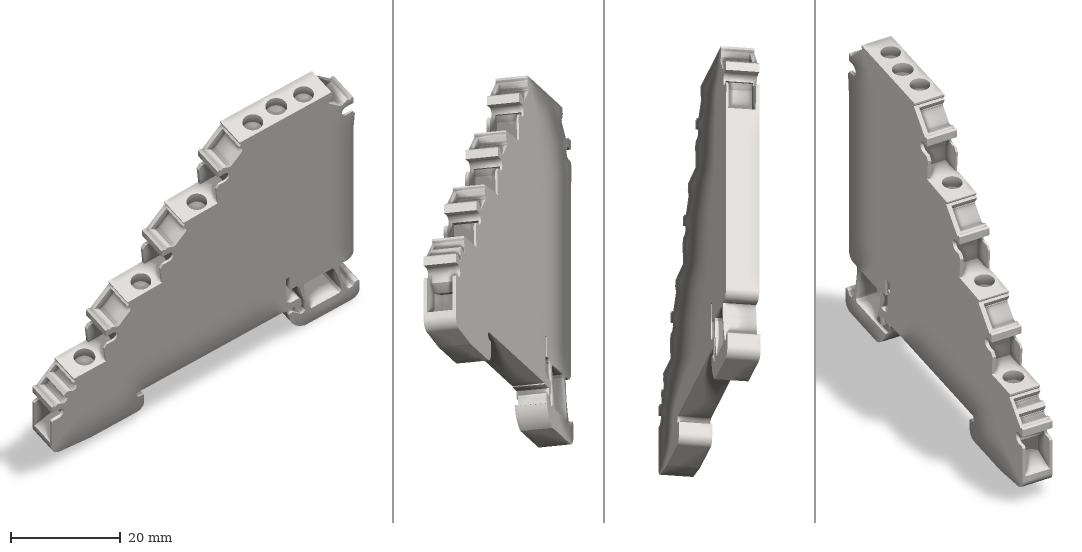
import cadquery as cq
import math


WIDTH = 6.2
LENGTH = 68.6
TOP_Z = 62.85
SEAM_X = WIDTH / 2
CUT_CLEAR = 0.7

TIER_PITCH_Y = 12.5
TIER_PITCH_Z = 14.05
HOUSING_TIERS = 3
LOWEST_LIP_Y = 12.0
LOWEST_NOTCH_Z = 27.0
TIERS = [
    (LOWEST_LIP_Y + i * TIER_PITCH_Y, LOWEST_NOTCH_Z + i * TIER_PITCH_Z)
    for i in reversed(range(HOUSING_TIERS))
]
BASE_TIER = (0.0, 13.45)
BACK_Y = 67.2
MIRROR_Y = (TIERS[0][0] + BACK_Y) / 2

NOTCH_R = 1.2
NOTCH_CENTRE_IN = 1.45
NOTCH_BACK_IN = NOTCH_CENTRE_IN + NOTCH_R
SLOPE_FOOT_IN = 0.8
SLOPE_FOOT_UP = 2.6
SLOPE_RISE = 4.3
SLOPE_LENGTH = SLOPE_RISE * math.sqrt(2)
TIER_TOP_UP = 7.55
TOP_TILT = 0.3
CREST_IN = 4.9
CREST_HEIGHT = 0.3
CREST_AND_LIP = [
    (CREST_IN, TIER_TOP_UP),
    (CREST_IN, TIER_TOP_UP - CREST_HEIGHT),
    (SLOPE_FOOT_IN + SLOPE_RISE, SLOPE_FOOT_UP + SLOPE_RISE),
    (SLOPE_FOOT_IN, SLOPE_FOOT_UP),
    (0.35, 3.0),
    (0.0, 2.75),
    (0.0, NOTCH_R),
    (NOTCH_CENTRE_IN, NOTCH_R),
]
EAR = [(0.3, -NOTCH_R), (-0.35, -2.0)]

RECESS_DEPTH = 1.7
RECESS_MARGIN = 0.55
HOUSING_RECESS_X = 0.9
RECESS_FLARE = 0.35
RECESS_FLARE_DEPTH = 0.9
RECESS_LEDGE = 0.3
RECESS_LEDGE_DEPTH = 1.45
BASE_RECESS_X = 0.6
RIB_WIDTH = 0.95

POCKET_X = (0.7, 5.75)
POCKET_DEPTH = 3.8
POCKET_LEAN = 0.6
BASE_POCKET_X = (0.6, 5.55)
BASE_POCKET_DEPTH = 4.45
BASE_POCKET_FLOOR_Z = (5.6, 7.0)
BASE_POCKET_ROOF_Z = (11.95, 10.5)
THROAT_X = (1.6, 4.5)
THROAT_DEPTH = 1.0

SCREW_D = 3.8
SCREW_X = 3.65
SCREW_IN = 9.6
BACK_SCREW_Y = 57.9
WIDE_SCREW_D = 4.0
WIDE_SCREW_X = SEAM_X
MIDDLE_SCREW_Y = 52.2
BASE_SCREW_Y = 9.4
SCREW_DEPTH = 2.05

BASE_TOP_Z = 21.1
JOINT_Z = 16.3
JOINT_LOW_Z = 15.0
JOINT_FRONT_Y = 12.95
DOVETAIL_Y = 39.9
DOVETAIL_NECK = 5.5
DOVETAIL_WIDTH = 8.4
DOVETAIL_EDGE = 0.35
DOVETAIL_BOTTOM_Z = 14.35
DOVETAIL_HALF = [
    (DOVETAIL_NECK / 2, JOINT_Z),
    (DOVETAIL_WIDTH / 2, DOVETAIL_BOTTOM_Z + DOVETAIL_EDGE),
    (DOVETAIL_WIDTH / 2, DOVETAIL_BOTTOM_Z),
]
JOINT = [
    (LOWEST_LIP_Y, BASE_TOP_Z),
    (LOWEST_LIP_Y, 20.6),
    (JOINT_FRONT_Y, 20.3),
    (JOINT_FRONT_Y, JOINT_LOW_Z),
    (20.7, JOINT_LOW_Z),
    (21.3, DOVETAIL_BOTTOM_Z),
    (23.9, DOVETAIL_BOTTOM_Z),
    (24.7, 15.4),
    (25.05, JOINT_Z),
    *[(DOVETAIL_Y - y, z) for y, z in DOVETAIL_HALF],
    *[(DOVETAIL_Y + y, z) for y, z in reversed(DOVETAIL_HALF)],
]

HOUSING_BOTTOM_Z = 12.0
HOUSING_CORNER_R = 1.65
HEEL_Y = 53.1
HEEL_STEP = (54.9, 12.55)
FOOT_TOP_Z = 3.9
FOOT_ROOT_Z = 3.7
ARM_SHOULDER_Z = 10.8
SETBACK = 0.7
BASE_BOTTOM_Z = 1.65
RAIL_TOP_Z = 7.15
BASE_BACK_Y = 52.2
RELIEF_LENGTH = 0.95


def prism(sketch, x_from=0.0, x_to=WIDTH):
    """Close a YZ sketch and extrude it between two X positions."""
    return sketch.close().extrude(x_to - x_from).translate((x_from, 0, 0))


def polygon_prism(points, x_from=0.0, x_to=WIDTH):
    return prism(cq.Workplane("YZ").polyline(points), x_from, x_to)


def line_through(sketch, points):
    for point in points:
        sketch = sketch.lineTo(*point)
    return sketch


def at_tier(tier, offsets):
    """Turn tier offsets into absolute YZ points."""
    lip_y, notch_z = tier
    return [(lip_y + inward, notch_z + up) for inward, up in offsets]


def mirror_to_back(solid):
    return solid.mirror("XZ", (0, MIRROR_Y, 0))


def inner_top_z(tier):
    """Height of a housing tier's top where it meets the tier above."""
    return tier[1] + TIER_TOP_UP + TOP_TILT


EAR_BOTTOMS = [inner_top_z(tier) for tier in TIERS[1:]] + [BASE_TOP_Z]


def draw_crest_to_notch(sketch, tier):
    sketch = line_through(sketch, at_tier(tier, CREST_AND_LIP))
    arc = [(NOTCH_BACK_IN, 0.0), (NOTCH_CENTRE_IN, -NOTCH_R)]
    return sketch.threePointArc(*at_tier(tier, arc))


def draw_housing_tier(sketch, tier, ear_bottom_z):
    """Crest, slope, lip, notch and ear of a housing tier, from top to bottom."""
    sketch = draw_crest_to_notch(sketch, tier)
    return line_through(sketch, at_tier(tier, EAR) + [(tier[0], ear_bottom_z)])


def slope_recess(tier, x_from, start, end):
    """Recess between two distances up the slope, with flared ends and a ledge at both."""
    wall_foot = RECESS_FLARE
    floor_start = wall_foot + RECESS_LEDGE
    end_wall = [
        (0.0, -CUT_CLEAR),
        (0.0, 0.0),
        (wall_foot, RECESS_FLARE_DEPTH),
        (wall_foot, RECESS_LEDGE_DEPTH),
        (floor_start, RECESS_LEDGE_DEPTH),
        (floor_start, RECESS_DEPTH),
    ]
    lower = [(start + along, depth) for along, depth in end_wall]
    upper = [(end - along, depth) for along, depth in reversed(end_wall)]
    unit = math.sqrt(0.5)
    offsets = [
        (SLOPE_FOOT_IN + unit * (along + depth), SLOPE_FOOT_UP + unit * (along - depth))
        for along, depth in lower + upper
    ]
    return polygon_prism(at_tier(tier, offsets), x_from)


def housing_recess(tier):
    return slope_recess(tier, HOUSING_RECESS_X, RECESS_MARGIN, SLOPE_LENGTH - RECESS_MARGIN)


def ear_pocket(tier, floor_z):
    """Wire pocket between the ears; above the lowest tier its back leans beside the notch."""
    lip_y, notch_z = tier
    front_y = lip_y - CUT_CLEAR
    back_y = lip_y + POCKET_DEPTH
    lean = 0.0 if tier == TIERS[-1] else POCKET_LEAN
    points = [
        (front_y, floor_z),
        (back_y, floor_z),
        (back_y, notch_z - NOTCH_R),
        (back_y - lean, notch_z),
        (front_y, notch_z),
    ]
    return polygon_prism(points, *POCKET_X)


def screw_hole(x, y, top_z, diameter):
    height = SCREW_DEPTH + CUT_CLEAR
    cutter = cq.Workplane("XY").circle(diameter / 2).extrude(height)
    return cutter.translate((x, y, top_z - SCREW_DEPTH))


def housing_plate():
    """Stepped plate from the base joint up to the middle of the top tier, with a plain back."""
    back_top_z = EAR_BOTTOMS[0]
    sketch = cq.Workplane("YZ").moveTo(MIRROR_Y, back_top_z).lineTo(MIRROR_Y, TOP_Z)
    sketch = sketch.lineTo(TIERS[0][0] + CREST_IN, TOP_Z)
    for tier, ear_bottom_z in zip(TIERS, EAR_BOTTOMS):
        sketch = draw_housing_tier(sketch, tier, ear_bottom_z)
    step_y, step_z = HEEL_STEP
    sketch = line_through(sketch, JOINT[1:])
    sketch = line_through(sketch, [(HEEL_Y, JOINT_Z), (HEEL_Y, step_z), HEEL_STEP])
    sketch = sketch.lineTo(step_y, HOUSING_BOTTOM_Z).lineTo(BACK_Y - HOUSING_CORNER_R, HOUSING_BOTTOM_Z)
    sketch = sketch.radiusArc((BACK_Y, HOUSING_BOTTOM_Z + HOUSING_CORNER_R), -HOUSING_CORNER_R)
    return prism(sketch.lineTo(BACK_Y, back_top_z))


def top_tier_back():
    """Back half of the top tier, the mirror image of its front half."""
    sketch = cq.Workplane("YZ").moveTo(MIRROR_Y, EAR_BOTTOMS[0]).lineTo(MIRROR_Y, TOP_Z)
    sketch = sketch.lineTo(TIERS[0][0] + CREST_IN, TOP_Z)
    return mirror_to_back(prism(draw_housing_tier(sketch, TIERS[0], EAR_BOTTOMS[0])))


def foot_plate():
    sketch = (
        cq.Workplane("YZ")
        .moveTo(HEEL_Y, FOOT_TOP_Z)
        .threePointArc((54.2, 1.65), (56.45, 0.0))
        .lineTo(66.75, 0.0)
        .threePointArc((68.05, 0.55), (LENGTH, 1.85))
        .lineTo(LENGTH, 4.05)
        .threePointArc((68.0, 4.65), (67.35, 4.1))
        .lineTo(67.1, FOOT_ROOT_Z)
        .lineTo(66.05, FOOT_ROOT_Z)
        .lineTo(65.8, FOOT_TOP_Z)
    )
    return prism(sketch)


def back_strut():
    """Curved spring strut at the back of the foot."""
    sketch = (
        cq.Workplane("YZ")
        .moveTo(66.2, FOOT_ROOT_Z)
        .lineTo(65.65, 4.45)
        .threePointArc((64.5, 8.15), (64.0, HOUSING_BOTTOM_Z))
        .lineTo(62.55, HOUSING_BOTTOM_Z)
        .lineTo(63.0, 11.5)
        .threePointArc((63.7, 9.05), (64.55, 4.8))
        .lineTo(64.55, 4.4)
        .lineTo(64.0, FOOT_ROOT_Z)
    )
    return prism(sketch)


def latch_arm():
    """Spring arm at the front of the foot, set back on the -X side below its shoulder."""
    top_y, top_z = 56.6, 12.35
    sketch = (
        cq.Workplane("YZ")
        .moveTo(58.0, FOOT_ROOT_Z)
        .threePointArc((56.65, 7.5), (56.2, 11.5))
        .lineTo(top_y, top_z)
        .lineTo(54.6, HEEL_STEP[1])
        .lineTo(55.15, 11.9)
        .threePointArc((55.8, 9.05), (56.45, 6.5))
        .lineTo(56.45, 4.4)
        .lineTo(55.8, FOOT_ROOT_Z)
    )
    step = cq.Workplane("XY").box(SETBACK, LENGTH, ARM_SHOULDER_Z, centered=False)
    return prism(sketch).cut(step)


def latch_lug():
    """Lug that hooks under the base."""
    sketch = (
        cq.Workplane("YZ")
        .moveTo(55.7, FOOT_ROOT_Z)
        .lineTo(53.9, 5.55)
        .threePointArc((53.3, 5.75), (52.9, 5.3))
        .lineTo(HEEL_Y, FOOT_ROOT_Z)
    )
    return prism(sketch, SETBACK)


def make_housing():
    housing = housing_plate().union(top_tier_back())
    for tier, ear_bottom_z in zip(TIERS, EAR_BOTTOMS):
        lip_y, notch_z = tier
        housing = housing.cut(housing_recess(tier)).cut(ear_pocket(tier, ear_bottom_z))
        top_z = notch_z + TIER_TOP_UP
        housing = housing.cut(screw_hole(SCREW_X, lip_y + SCREW_IN, top_z, SCREW_D))
    housing = housing.cut(mirror_to_back(housing_recess(TIERS[0])))
    housing = housing.cut(mirror_to_back(ear_pocket(TIERS[0], EAR_BOTTOMS[0])))
    housing = housing.cut(screw_hole(SCREW_X, BACK_SCREW_Y, TOP_Z, SCREW_D))
    housing = housing.cut(screw_hole(WIDE_SCREW_X, MIDDLE_SCREW_Y, TOP_Z, WIDE_SCREW_D))
    for part in (foot_plate(), back_strut(), latch_arm(), latch_lug()):
        housing = housing.union(part)
    return housing


def base_plate():
    """Outline of the base: tier, rounded front, rail recess, rail hook and joint line."""
    notch_bottom_z = BASE_TIER[1] - NOTCH_R
    sketch = cq.Workplane("YZ").moveTo(*JOINT[0]).lineTo(CREST_IN, BASE_TOP_Z)
    sketch = draw_crest_to_notch(sketch, BASE_TIER)
    sketch = (
        sketch.lineTo(0.35, notch_bottom_z)
        .lineTo(0.0, notch_bottom_z - 0.3)
        .lineTo(0.0, 4.5)
        .threePointArc((0.55, 3.15), (1.85, 2.5))
        .lineTo(8.65, BASE_BOTTOM_Z)
        .lineTo(18.85, BASE_BOTTOM_Z)
        .threePointArc((20.0, 2.1), (20.5, 3.3))
        .lineTo(20.5, 5.55)
        .lineTo(19.75, 5.75)
        .threePointArc((18.85, 6.3), (19.4, RAIL_TOP_Z))
        .lineTo(51.8, RAIL_TOP_Z)
        .lineTo(51.8, 6.9)
        .lineTo(54.25, 6.9)
        .lineTo(54.25, 5.55)
        .lineTo(54.5, 5.35)
        .lineTo(55.65, 6.5)
        .lineTo(55.65, 7.75)
        .threePointArc((55.2, 8.5), (54.25, 8.8))
        .threePointArc((52.75, 9.1), (BASE_BACK_Y, 10.3))
        .lineTo(BASE_BACK_Y, JOINT_Z)
    )
    return prism(line_through(sketch, reversed(JOINT[1:])))


def base_pocket():
    """Wire pocket with a ramped floor and a sloping roof behind the notch."""
    front_floor_z, back_floor_z = BASE_POCKET_FLOOR_Z
    front_roof_z, back_roof_z = BASE_POCKET_ROOF_Z
    notch_z = BASE_TIER[1]
    points = [
        (-CUT_CLEAR, front_floor_z),
        (0.0, front_floor_z),
        (BASE_POCKET_DEPTH, back_floor_z),
        (BASE_POCKET_DEPTH, back_roof_z),
        (NOTCH_BACK_IN, front_roof_z),
        (NOTCH_BACK_IN, notch_z),
        (-CUT_CLEAR, notch_z),
    ]
    return polygon_prism(points, *BASE_POCKET_X)


def base_throat():
    """Narrowing throat behind the base pocket."""
    back_y = BASE_POCKET_DEPTH + THROAT_DEPTH
    floor_z = BASE_POCKET_FLOOR_Z[1]
    plan = [
        (BASE_POCKET_X[0], BASE_POCKET_DEPTH),
        (BASE_POCKET_X[1], BASE_POCKET_DEPTH),
        (THROAT_X[1], back_y),
        (THROAT_X[0], back_y),
    ]
    height = BASE_POCKET_ROOF_Z[1] - floor_z
    return cq.Workplane("XY").workplane(offset=floor_z).polyline(plan).close().extrude(height)


def base_relief():
    """Shallow relief in the upper back corner, on the -X side."""
    height = JOINT_Z - DOVETAIL_BOTTOM_Z
    cutter = cq.Workplane("XY").box(SETBACK, RELIEF_LENGTH, height, centered=False)
    return cutter.translate((0, BASE_BACK_Y - RELIEF_LENGTH, DOVETAIL_BOTTOM_Z))


def whole_base():
    rib_start = (SLOPE_LENGTH - RIB_WIDTH) / 2
    rib_end = rib_start + RIB_WIDTH
    base = base_plate().cut(base_pocket()).cut(base_throat()).cut(base_relief())
    base = base.cut(slope_recess(BASE_TIER, BASE_RECESS_X, RECESS_MARGIN, rib_start))
    base = base.cut(slope_recess(BASE_TIER, BASE_RECESS_X, rib_end, SLOPE_LENGTH - RECESS_MARGIN))
    return base.cut(screw_hole(WIDE_SCREW_X, BASE_SCREW_Y, BASE_TOP_Z, WIDE_SCREW_D))


def make_base_half(x_from, x_to):
    """Part of the base between two X positions."""
    slab = cq.Workplane("XY").box(x_to - x_from, LENGTH, TOP_Z, centered=False)
    return whole_base().intersect(slab.translate((x_from, 0, 0)))


housing = make_housing()
base_halves = [make_base_half(0.0, SEAM_X), make_base_half(SEAM_X, WIDTH)]

result = cq.Compound.makeCompound([housing.val(), *[half.val() for half in base_halves]])